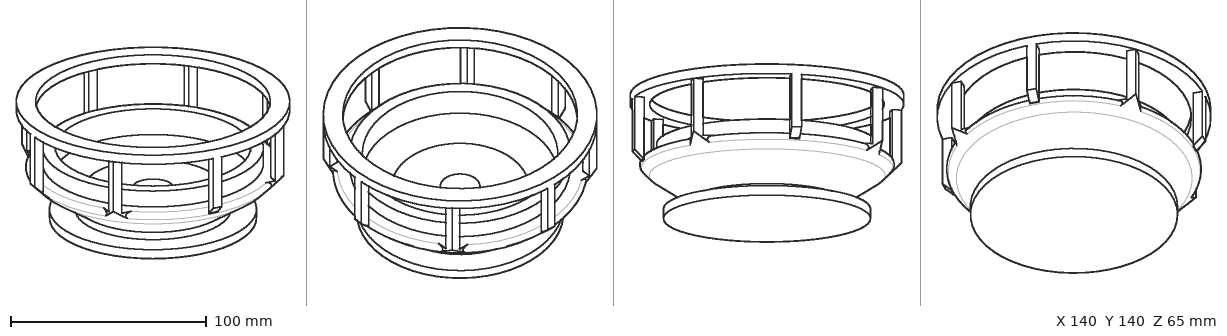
import cadquery as cq
import math

foot_diameter = 106.0
foot_height = 5.0
neck_diameter = 80.0
neck_top = 9.1

flare_bottom = 22.7
rim_top = 30.4
rim_fillet = 2.1
rounding_gap_width = 12.6
cup_diameter = 113.0
cup_top = 39.2

cavity_diameter = 100.0
cavity_wall_bottom = 24.9
floor_diameter = 70
floor_height = 17.2
recess_diameter = 20.5
recess_bottom = foot_height

outer_diameter = 140
ring_inner_diameter = 120.0
total_height = 65.0
ring_thickness = 5.0
post_width = 5.0
post_count = 8
post_chamfer_top = 32.3
all_posts = range(post_count)
axis_posts = range(0, post_count, 2)
diagonal_posts = range(1, post_count, 2)

outer_radius = outer_diameter / 2
ring_bottom = total_height - ring_thickness


def flare_radius(z):
    """Radius of the 45 degree cone shared by the rim and the post ends."""
    return outer_radius - (post_chamfer_top - z)


def envelope():
    """Revolved outside of the part, as a solid without openings."""
    return (
        cq.Workplane("XZ")
        .moveTo(0, 0)
        .lineTo(foot_diameter / 2, 0)
        .lineTo(foot_diameter / 2, foot_height)
        .lineTo(neck_diameter / 2, foot_height)
        .lineTo(neck_diameter / 2, neck_top)
        .lineTo(flare_radius(flare_bottom), flare_bottom)
        .lineTo(outer_radius, post_chamfer_top)
        .lineTo(outer_radius, total_height)
        .lineTo(0, total_height)
        .close()
        .revolve(360, (0, 0, 0), (0, 1, 0))
    )


def cavity():
    """Revolved opening of the ring, the bowl and the recess in its floor."""
    return (
        cq.Workplane("XZ")
        .moveTo(0, recess_bottom)
        .lineTo(recess_diameter / 2, recess_bottom)
        .lineTo(recess_diameter / 2, floor_height)
        .lineTo(floor_diameter / 2, floor_height)
        .lineTo(cavity_diameter / 2, cavity_wall_bottom)
        .lineTo(cavity_diameter / 2, cup_top)
        .lineTo(ring_inner_diameter / 2, cup_top)
        .lineTo(ring_inner_diameter / 2, total_height)
        .lineTo(0, total_height)
        .close()
        .revolve(360, (0, 0, 0), (0, 1, 0))
    )


def square_posts(width, bottom, top, indices):
    """Square bars parallel to X and Y, each with its outer side or corner on the outer cylinder."""
    centers = []
    for index in indices:
        angle = 2 * math.pi * index / post_count
        on_diagonal = index % 2 == 1
        depth = width / 2 * (math.sqrt(2) if on_diagonal else 1)
        radius = outer_radius - depth
        centers.append((radius * math.cos(angle), radius * math.sin(angle)))
    return (
        cq.Workplane("XY")
        .workplane(offset=bottom)
        .pushPoints(centers)
        .rect(width, width)
        .extrude(top - bottom)
    )


def windows():
    """Open space around the cup, between the rim and the ring, less the square posts."""
    open_space = (
        cq.Workplane("XY")
        .workplane(offset=rim_top)
        .circle(outer_diameter)
        .circle(cup_diameter / 2)
        .extrude(ring_bottom - rim_top)
    )
    return open_space.cut(square_posts(post_width, rim_top, ring_bottom, all_posts))


def rim_rounding():
    """Material outside the rim fillet, kept clear of the posts and the corners beside them."""
    rim_radius = flare_radius(rim_top)
    tangent_length = rim_fillet / math.tan(math.pi / 8)
    arc_center_x = rim_radius - tangent_length
    arc_center_z = rim_top - rim_fillet
    middle_angle = math.radians((90 - 45) / 2)
    arc_middle = (
        arc_center_x + rim_fillet * math.cos(middle_angle),
        arc_center_z + rim_fillet * math.sin(middle_angle),
    )
    cone_tangent = (
        rim_radius - tangent_length * math.sqrt(0.5),
        rim_top - tangent_length * math.sqrt(0.5),
    )
    ring = (
        cq.Workplane("XZ")
        .moveTo(arc_center_x, rim_top)
        .threePointArc(arc_middle, cone_tangent)
        .lineTo(outer_radius, cone_tangent[1])
        .lineTo(outer_radius, rim_top)
        .close()
        .revolve(360, (0, 0, 0), (0, 1, 0))
    )
    diagonal_guards = square_posts(rounding_gap_width, flare_bottom, cup_top, diagonal_posts)
    axis_guards = square_posts(post_width, flare_bottom, cup_top, axis_posts)
    return ring.cut(diagonal_guards).cut(axis_guards)


result = envelope().cut(cavity()).cut(windows()).cut(rim_rounding())